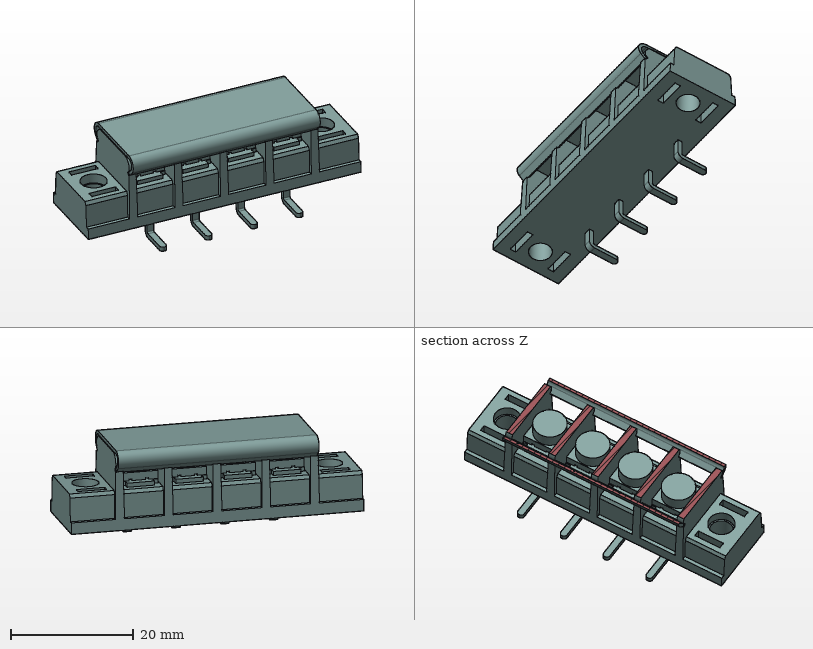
import cadquery as cq
import math

pole_count = 4
pitch = 8.25

base_length = 49.5
base_width = 13.2
base_height = 1.95

block_bottom_width = 11.7
block_shoulder_width = 11.3
block_top_width = 10.6
block_shoulder_z = 5.95
block_top_z = 6.55

barrier_shoulder_width = 12.15
barrier_crown_width = 9.4
barrier_shoulder_z = 10.85
barrier_bottom_thickness = 1.5
barrier_top_thickness = 1.2

cover_length = 33.95
cover_width = 14.7
cover_thickness = 0.6
cover_top_z = 13.45
cover_bend_radius = 1.6
cover_lip_length = 1.25

mount_hole_diameter = 3.9
mount_bore_diameter = 4.45
mount_bore_depth = 1.7
slot_width = 1.1
slot_length = 4.8
slot_spacing = 7.6

plate_wide_length = 6.4
plate_narrow_length = 4.65
plate_wide_depth = 6.4
plate_narrow_depth = 8.4
plate_thickness = 0.7
washer_length = 6.4
washer_depth = 6.0
washer_thickness = 1.4
washer_groove_width = 0.5
washer_groove_depth = 0.25
washer_groove_spacing = 2.8
screw_head_diameter = 5.65
screw_head_height = 2.2

pin_width = 1.2
pin_thickness = 0.8
pin_inner_x = 3.5
pin_tip_x = 9.5
pin_bottom_z = -3.85
pin_bend_radius = 1.05
pin_tip_radius = 0.55

side_draft = (base_width - barrier_shoulder_width) / barrier_shoulder_z
base_top_width = base_width - side_draft * base_height
barrier_top_z = cover_top_z - cover_thickness
pole_ys = [(i - (pole_count - 1) / 2) * pitch for i in range(pole_count)]
barrier_ys = [(i - pole_count / 2) * pitch for i in range(pole_count + 1)]
mount_y = (pole_count + 1) / 2 * pitch


def along_y(profile, length):
    """Extrude an XZ profile by length, centred on y = 0."""
    return profile.extrude(length / 2, both=True)


def make_base():
    base = (
        cq.Workplane("XZ")
        .moveTo(-base_width / 2, 0)
        .lineTo(-base_top_width / 2, base_height)
        .lineTo(base_top_width / 2, base_height)
        .lineTo(base_width / 2, 0)
        .close()
    )
    outline = (
        cq.Workplane("XZ")
        .moveTo(-block_bottom_width / 2, base_height)
        .lineTo(-block_shoulder_width / 2, block_shoulder_z)
        .lineTo(-block_top_width / 2, block_top_z)
        .lineTo(block_top_width / 2, block_top_z)
        .lineTo(block_shoulder_width / 2, block_shoulder_z)
        .lineTo(block_bottom_width / 2, base_height)
        .close()
    )
    return along_y(base, base_length).union(along_y(outline, base_length))


def make_barrier():
    crown_drop = barrier_top_z - barrier_shoulder_z
    corner_in = (barrier_shoulder_width - barrier_crown_width) / 2
    arc_mid_x = barrier_shoulder_width / 2 - corner_in * (1 - math.sqrt(0.5))
    arc_mid_z = barrier_shoulder_z + crown_drop * math.sqrt(0.5)
    front = (
        cq.Workplane("XZ")
        .moveTo(-base_top_width / 2, base_height)
        .lineTo(-barrier_shoulder_width / 2, barrier_shoulder_z)
        .threePointArc((-arc_mid_x, arc_mid_z), (-barrier_crown_width / 2, barrier_top_z))
        .lineTo(barrier_crown_width / 2, barrier_top_z)
        .threePointArc((arc_mid_x, arc_mid_z), (barrier_shoulder_width / 2, barrier_shoulder_z))
        .lineTo(base_top_width / 2, base_height)
        .close()
    )
    side = (
        cq.Workplane("YZ")
        .moveTo(-barrier_bottom_thickness / 2, base_height)
        .lineTo(-barrier_top_thickness / 2, barrier_top_z)
        .lineTo(barrier_top_thickness / 2, barrier_top_z)
        .lineTo(barrier_bottom_thickness / 2, base_height)
        .close()
        .extrude(base_width / 2, both=True)
    )
    return along_y(front, barrier_bottom_thickness).intersect(side)


def make_cover(length):
    """Half of the bent sheet is drawn on the +X side and then mirrored."""
    bend_x = cover_width / 2 - cover_bend_radius
    bend_z = cover_top_z - cover_bend_radius
    inner_radius = cover_bend_radius - cover_thickness
    diagonal = math.sqrt(0.5)
    lip_step = cover_lip_length * diagonal

    def bend_end(radius):
        return (bend_x + radius * diagonal, bend_z - radius * diagonal)

    def lip_tip(radius):
        x, z = bend_end(radius)
        return (x - lip_step, z - lip_step)

    outline = (
        cq.Workplane("XZ")
        .moveTo(0, cover_top_z)
        .lineTo(bend_x, cover_top_z)
        .threePointArc((bend_x + cover_bend_radius, bend_z), bend_end(cover_bend_radius))
        .lineTo(*lip_tip(cover_bend_radius))
        .lineTo(*lip_tip(inner_radius))
        .lineTo(*bend_end(inner_radius))
        .threePointArc((bend_x + inner_radius, bend_z), (bend_x, barrier_top_z))
        .lineTo(0, barrier_top_z)
        .close()
    )
    half = along_y(outline, length)
    return half.union(half.mirror("YZ"))


def make_terminal():
    """Contact plate, grooved square washer and screw head of one pole."""
    washer_z = block_top_z + plate_thickness
    screw_z = washer_z + washer_thickness
    plate = cq.Workplane("XY").workplane(offset=block_top_z)
    wide = plate.rect(plate_wide_depth, plate_wide_length).extrude(plate_thickness)
    narrow = plate.rect(plate_narrow_depth, plate_narrow_length).extrude(plate_thickness)
    washer = (
        cq.Workplane("XY")
        .workplane(offset=washer_z)
        .rect(washer_depth, washer_length)
        .extrude(washer_thickness)
    )
    grooves = (
        cq.Workplane("XY")
        .workplane(offset=washer_z)
        .rarray(1, washer_groove_spacing, 1, 2)
        .rect(washer_depth, washer_groove_width)
        .extrude(washer_groove_depth)
    )
    head = (
        cq.Workplane("XY")
        .workplane(offset=screw_z)
        .circle(screw_head_diameter / 2)
        .extrude(screw_head_height)
    )
    return wide.union(narrow).union(washer.cut(grooves)).union(head)


def make_pin():
    """L-shaped flat pin, rounded at the free end."""
    leg = (
        cq.Workplane("XZ")
        .moveTo(pin_inner_x, 0)
        .lineTo(pin_inner_x, pin_bottom_z)
        .lineTo(pin_tip_x, pin_bottom_z)
        .lineTo(pin_tip_x, pin_bottom_z + pin_thickness)
        .lineTo(pin_inner_x + pin_thickness, pin_bottom_z + pin_thickness)
        .lineTo(pin_inner_x + pin_thickness, 0)
        .close()
    )
    pin = along_y(leg, pin_width)
    outer_corner = cq.selectors.NearestToPointSelector((pin_inner_x, 0, pin_bottom_z))
    inner_corner = cq.selectors.NearestToPointSelector(
        (pin_inner_x + pin_thickness, 0, pin_bottom_z + pin_thickness)
    )
    pin = pin.edges(outer_corner).fillet(pin_bend_radius)
    pin = pin.edges(inner_corner).fillet(pin_bend_radius - pin_thickness)
    return pin.edges("|Z and >X").fillet(pin_tip_radius)


def cut_mount(body, y):
    """Counterbored screw hole and two slots in the mounting end at y."""
    bottom = cq.Workplane("XY").center(0, y)
    hole = bottom.circle(mount_hole_diameter / 2).extrude(block_top_z)
    bore = (
        bottom.workplane(offset=block_top_z - mount_bore_depth)
        .circle(mount_bore_diameter / 2)
        .extrude(mount_bore_depth)
    )
    slots = bottom.rarray(slot_spacing, 1, 2, 1).rect(slot_width, slot_length).extrude(block_top_z)
    return body.cut(hole).cut(bore).cut(slots)


result = make_base()
for end_y in (-mount_y, mount_y):
    result = cut_mount(result, end_y)

barrier = make_barrier().cut(make_cover(barrier_bottom_thickness))
for barrier_y in barrier_ys:
    result = result.union(barrier.translate((0, barrier_y, 0)))

terminal = make_terminal()
pin = make_pin()
for pole_y in pole_ys:
    result = result.union(terminal.translate((0, pole_y, 0)))
    result = result.union(pin.translate((0, pole_y, 0)))

result = result.union(make_cover(cover_length))